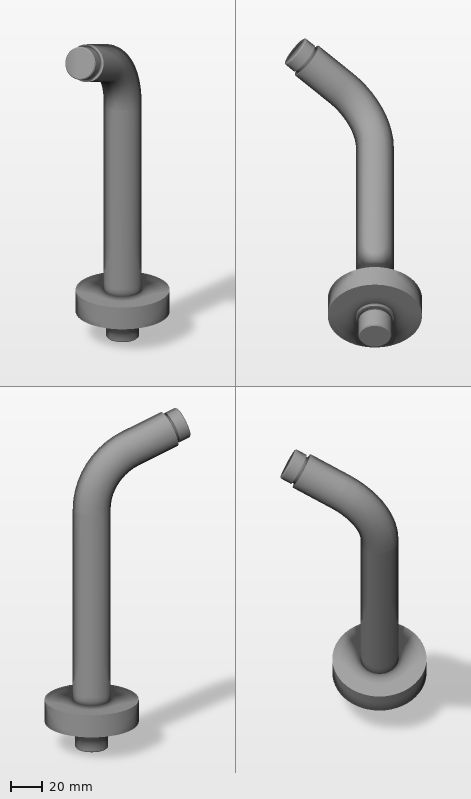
import cadquery as cq
import math

tube_diameter = 24.0
tube_radius = tube_diameter / 2
bend_start_z = 160.8
bend_radius = 40.0
bend_angle = 70
outlet_length = 28.3

flange_diameter = 60.0
flange_bottom_z = 17.2
flange_height = 15.0

neck_diameter = 18.8
neck_length = 2.0
spigot_diameter = 21.0
spigot_chamfer = 0.7
outlet_spigot_length = 8.0
collar_bottom_z = 15.3
inlet_spigot_length = collar_bottom_z - neck_length


def connection_end(plane, spigot_length):
    """Neck and spigot growing along the plane's normal."""
    neck = cq.Workplane(plane).circle(neck_diameter / 2).extrude(neck_length)
    spigot = (
        cq.Workplane(plane)
        .workplane(offset=neck_length)
        .circle(spigot_diameter / 2)
        .extrude(spigot_length)
        .faces(cq.selectors.DirectionMinMaxSelector(plane.zDir))
        .edges()
        .chamfer(spigot_chamfer)
    )
    return neck.union(spigot)


def bend_point(angle):
    """Point (y, z) on the bend centreline after turning by the angle in degrees."""
    turn = math.radians(angle)
    y = -bend_radius * (1 - math.cos(turn))
    z = bend_start_z + bend_radius * math.sin(turn)
    return y, z


outlet_y = -math.sin(math.radians(bend_angle))
outlet_z = math.cos(math.radians(bend_angle))
bend_end = bend_point(bend_angle)
outlet_end = (
    bend_end[0] + outlet_length * outlet_y,
    bend_end[1] + outlet_length * outlet_z,
)

centreline = (
    cq.Workplane("YZ")
    .moveTo(0, collar_bottom_z)
    .lineTo(0, bend_start_z)
    .threePointArc(bend_point(bend_angle / 2), bend_end)
    .lineTo(*outlet_end)
)
tube = (
    cq.Workplane("XY", origin=(0, 0, collar_bottom_z))
    .circle(tube_radius)
    .sweep(centreline)
)

flange = (
    cq.Workplane("XY", origin=(0, 0, flange_bottom_z))
    .circle(flange_diameter / 2)
    .extrude(flange_height)
)

inlet_plane = cq.Plane(origin=(0, 0, collar_bottom_z), xDir=(1, 0, 0), normal=(0, 0, -1))
outlet_plane = cq.Plane(
    origin=(0, *outlet_end), xDir=(1, 0, 0), normal=(0, outlet_y, outlet_z)
)

result = (
    tube.union(flange)
    .union(connection_end(inlet_plane, inlet_spigot_length))
    .union(connection_end(outlet_plane, outlet_spigot_length))
)